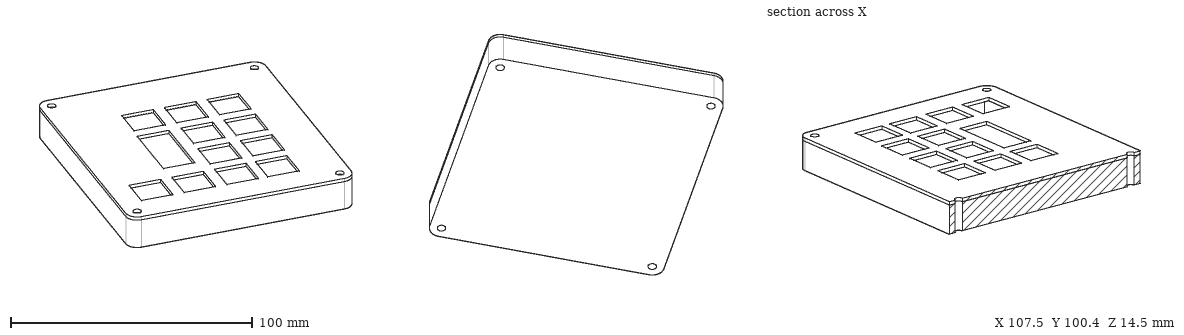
import cadquery as cq

LENGTH = 107.5
WIDTH = 100.4
HEIGHT = 14.5
CORNER_RADIUS = 5.0

PLATE_THICKNESS = 1.5
BOARD_THICKNESS = 1.6
BOARD_DEPTH = 9.0
CASE_HEIGHT = HEIGHT - PLATE_THICKNESS
BOARD_TOP = HEIGHT - BOARD_DEPTH
CASE_FLOOR = BOARD_TOP - BOARD_THICKNESS

WALL = 10.2
CAVITY_LENGTH = LENGTH - 2 * WALL
CAVITY_WIDTH = WIDTH - 2 * WALL

SCREW_DIAMETER = 3.4
SCREW_SPACING_X = LENGTH - 2 * CORNER_RADIUS
SCREW_SPACING_Y = WIDTH - 2 * CORNER_RADIUS

KEY_SIZE = 14.1
KEY_PITCH = 19.0
FIRST_KEY_X = -23.3
FIRST_KEY_Y = 24.0
REGULAR_KEYS = [
    (0, 0), (1, 0), (2, 0),
    (0, 1), (1, 1), (2, 1), (3, 1),
    (0, 2), (3, 2),
    (3, 3),
]

LOWERED_KEY = (3, 0)
LOWERED_KEY_DROP = 0.9

WIDE_KEY_LENGTH = 29.8
WIDE_KEY_CELL = (1, 2)
WIDE_KEY_DROP = 0.5


def key_center(column, row):
    """Centre of a key cell on the regular grid."""
    return FIRST_KEY_X + column * KEY_PITCH, FIRST_KEY_Y - row * KEY_PITCH


def rounded_slab(bottom, thickness):
    """Slab with the outer outline and the four screw holes."""
    return (
        cq.Workplane("XY", origin=(0, 0, bottom))
        .rect(LENGTH, WIDTH)
        .extrude(thickness)
        .edges("|Z")
        .fillet(CORNER_RADIUS)
        .faces(">Z")
        .workplane(origin=(0, 0, 0))
        .rect(SCREW_SPACING_X, SCREW_SPACING_Y, forConstruction=True)
        .vertices()
        .hole(SCREW_DIAMETER)
    )


def cavity_block(bottom, height):
    """Block as long and as wide as the case cavity."""
    return cq.Workplane("XY", origin=(0, 0, bottom)).rect(CAVITY_LENGTH, CAVITY_WIDTH).extrude(height)


def make_case():
    """Tray with an open cavity and a screw hole in each corner."""
    return rounded_slab(0, CASE_HEIGHT).cut(cavity_block(CASE_FLOOR, CASE_HEIGHT - CASE_FLOOR))


def make_board():
    """Flat board lying on the cavity floor."""
    return cavity_block(CASE_FLOOR, BOARD_THICKNESS)


def key_opening(center, length=KEY_SIZE):
    """Cutter for one key opening through the plate."""
    return (
        cq.Workplane("XY", origin=(0, 0, CASE_HEIGHT))
        .center(*center)
        .rect(length, KEY_SIZE)
        .extrude(PLATE_THICKNESS)
    )


def make_plate():
    """Cover plate with all the key openings."""
    plate = rounded_slab(CASE_HEIGHT, PLATE_THICKNESS)
    for column, row in REGULAR_KEYS:
        plate = plate.cut(key_opening(key_center(column, row)))

    lowered_x, lowered_y = key_center(*LOWERED_KEY)
    plate = plate.cut(key_opening((lowered_x, lowered_y - LOWERED_KEY_DROP)))

    cell_x, cell_y = key_center(*WIDE_KEY_CELL)
    wide_x = cell_x + (WIDE_KEY_LENGTH - KEY_SIZE) / 2
    return plate.cut(key_opening((wide_x, cell_y - WIDE_KEY_DROP), WIDE_KEY_LENGTH))


case = make_case()
board = make_board()
plate = make_plate()

result = cq.Compound.makeCompound([case.val(), board.val(), plate.val()])